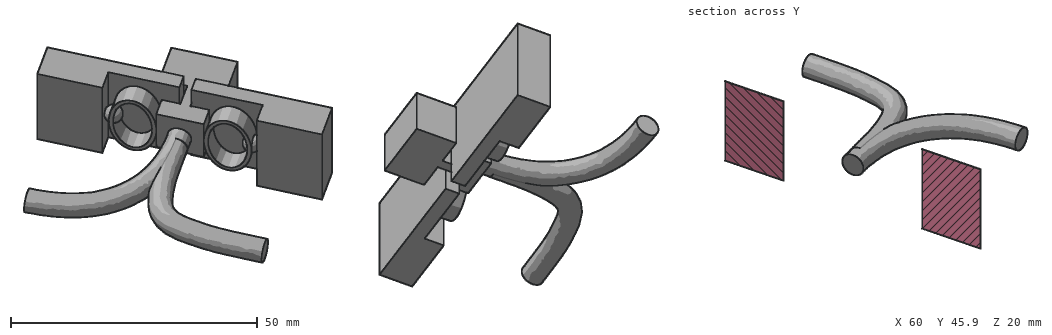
import cadquery as cq


overall_length = 60.0
overall_depth = 45.9
plate_height = 20.0

plate_gap = 2.5
plate_depth = 7.5
web_depth = 3.1
recess_length = 15.0
web_front_y = plate_depth - web_depth
plate_inner_x = plate_gap / 2
plate_outer_x = overall_length / 2
recess_outer_x = plate_inner_x + recess_length

slider_height = 10.0
block_width = 10.0
block_depth = 4.0
block_front_y = web_front_y - block_depth
stem_width = 2.1
head_width = 14.0
head_depth = 9.05

ring_width = 10.0
ring_height = 15.0
ring_wall = 0.9
ring_center_x = (block_width + ring_width) / 2

ball_radius = 1.9
ball_x = ring_center_x + (ring_width - ring_wall) / 2
ball_y = block_front_y + block_depth / 2

rod_diameter = 5.0
handle_span = 50.05
right_arm_start_y = -2.75
rod_radius = rod_diameter / 2
arm_end_x = handle_span / 2

head_rear_y = 18.5
arm_end_y = head_rear_y - overall_depth + rod_radius
left_arm_bend = [(-6.3, -18.25)]
right_arm_bend = [(0.7, -16.6), (2.2, -20.65), (4.9, -22.9), (9.4, -24.1)]


def centered_box(width, front_y, rear_y, height):
    """Box centred on X and Z between two Y positions."""
    depth = rear_y - front_y
    return cq.Workplane("XY").box(width, depth, height).translate((0, front_y + depth / 2, 0))


def make_ball(side):
    """Ball with its seam turned towards the middle of the part."""
    seam_angle = 180 if side > 0 else 0
    ball = cq.Workplane("XY").sphere(ball_radius).rotate((0, 0, 0), (0, 0, 1), seam_angle)
    return ball.translate((side * ball_x, ball_y, 0))


def make_plate(side):
    """L-shaped plate with a socket for the ball; side is -1 (left) or +1 (right)."""
    outline = [
        (side * plate_inner_x, web_front_y),
        (side * plate_inner_x, plate_depth),
        (side * plate_outer_x, plate_depth),
        (side * plate_outer_x, 0),
        (side * recess_outer_x, 0),
        (side * recess_outer_x, web_front_y),
    ]
    plate = cq.Workplane("XY").polyline(outline).close().extrude(plate_height / 2, both=True)
    return plate.cut(make_ball(side))


def make_ring(side):
    """Elliptical ring resting on the plate web, with its ball."""
    ring = (
        cq.Workplane("XZ", origin=(side * ring_center_x, web_front_y, 0))
        .ellipse(ring_width / 2, ring_height / 2)
        .ellipse(ring_width / 2 - ring_wall, ring_height / 2 - ring_wall)
        .extrude(block_depth)
    )
    return ring.union(make_ball(side))


def make_slider():
    head_front_y = head_rear_y - head_depth
    block = centered_box(block_width, block_front_y, web_front_y, slider_height)
    stem = centered_box(stem_width, web_front_y, head_front_y, slider_height)
    head = centered_box(head_width, head_front_y, head_rear_y, slider_height)
    return block.union(stem).union(head)


def make_arm(side, start_y, bend_points):
    """Round rod leaving its start point along -Y and ending along X."""
    path = cq.Workplane("XY").spline(
        [(0, start_y), *bend_points, (side * arm_end_x, arm_end_y)],
        tangents=[(0, -1), (side, 0)],
    )
    return cq.Workplane("XZ", origin=(0, start_y, 0)).circle(rod_radius).sweep(path)


def make_handle():
    """Left arm with the tighter right arm branching off just below its top."""
    left_arm = make_arm(-1, 0, left_arm_bend)
    right_arm = make_arm(1, right_arm_start_y, right_arm_bend)
    return left_arm.union(right_arm)


plates = [make_plate(side) for side in (-1, 1)]
rings = [make_ring(side) for side in (-1, 1)]
slider = make_slider()
handle = make_handle()

result = cq.Compound.makeCompound(
    [solid for body in [*plates, *rings, slider, handle] for solid in body.solids().vals()]
)